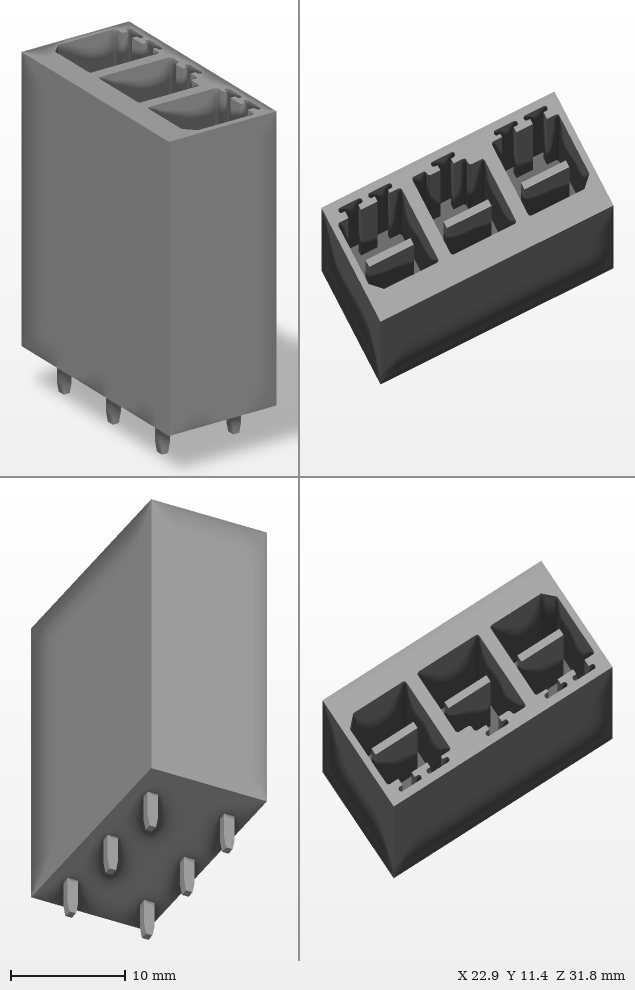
import cadquery as cq

TOTAL_HEIGHT = 31.8
HOUSING_LENGTH = 22.85
HOUSING_DEPTH = 11.4
LEG_LENGTH = 3.5
POLE_COUNT = 3
PITCH = HOUSING_LENGTH / POLE_COUNT

POCKET_WIDTH = 6.42
POCKET_FRONT_Y = -3.25
POCKET_DEPTH = 20.67
POCKET_CORNER_RADIUS = 0.25
POCKET_CHAMFER = 1.02
OUTER_WALL_LEVEL = 3.82
INNER_WALL_LEVEL = 4.15
RIB_LEVEL = 3.98
MIDDLE_LEFT_LEVEL = 4.5
MIDDLE_RIGHT_LEVEL = 3.2
MIDDLE_LEFT_STEP_X = -1.8
MIDDLE_RIGHT_STEP_X = 1.8

SLOT_BACK_Y = 4.95
SLOT_HEAD_DEPTH = 0.48
SLOT_HEAD_WIDTH = 2.3
SLOT_STEM_WIDTH = 1.3
SLOT_END_RADIUS = 0.22
SLOT_SPACING = 2.93

BLADE_WIDTH = 4.4
BLADE_THICKNESS = 0.67
BLADE_TOP_GAP = 3.18
CROSSBAR_HEIGHT = 2.55
LEG_THICKNESS = 0.8
LEG_WIDTH = 1.02
LEG_SPACING = 7.55
LEG_TAPER_HEIGHT = 1.02
LEG_TAPER = 0.2

POCKET_FLOOR_Z = TOTAL_HEIGHT - POCKET_DEPTH


def block(x_min, x_max, y_min, y_max, z_min, z_max):
    """Box given by its limits."""
    size = (x_max - x_min, y_max - y_min, z_max - z_min)
    return cq.Workplane("XY").box(*size, centered=False).translate((x_min, y_min, z_min))


def pocket_prism(points):
    """Upright prism from the pocket floor to the housing top."""
    return cq.Workplane("XY", origin=(0, 0, POCKET_FLOOR_Z)).polyline(points).close().extrude(POCKET_DEPTH)


def keying_slot(x):
    """T-shaped slot centred on x, with a round-ended head at the back."""
    head_front_y = SLOT_BACK_Y - SLOT_HEAD_DEPTH
    half_head = SLOT_HEAD_WIDTH / 2
    half_stem = SLOT_STEM_WIDTH / 2
    head = block(x - half_head, x + half_head, head_front_y, SLOT_BACK_Y, POCKET_FLOOR_Z, TOTAL_HEIGHT)
    head = head.edges("|Z").fillet(SLOT_END_RADIUS)
    stem_front_y = OUTER_WALL_LEVEL
    stem_back_y = SLOT_BACK_Y - SLOT_HEAD_DEPTH / 2
    stem = block(x - half_stem, x + half_stem, stem_front_y, stem_back_y, POCKET_FLOOR_Z, TOTAL_HEIGHT)
    return head.union(stem)


def left_pocket():
    """Left pocket, centred on x = 0: chamfered front corner and two keying slots."""
    half = POCKET_WIDTH / 2
    half_spacing = SLOT_SPACING / 2
    pocket = pocket_prism([
        (-half + POCKET_CHAMFER, POCKET_FRONT_Y),
        (half, POCKET_FRONT_Y),
        (half, INNER_WALL_LEVEL),
        (half_spacing, INNER_WALL_LEVEL),
        (half_spacing, RIB_LEVEL),
        (-half_spacing, RIB_LEVEL),
        (-half_spacing, OUTER_WALL_LEVEL),
        (-half, OUTER_WALL_LEVEL),
        (-half, POCKET_FRONT_Y + POCKET_CHAMFER),
    ])
    pocket = pocket.edges("|Z and >X").fillet(POCKET_CORNER_RADIUS)
    mid_height = (POCKET_FLOOR_Z + TOTAL_HEIGHT) / 2
    back_left_corner = cq.selectors.NearestToPointSelector((-half, OUTER_WALL_LEVEL, mid_height))
    pocket = pocket.edges(back_left_corner).fillet(POCKET_CORNER_RADIUS)
    return pocket.union(keying_slot(-half_spacing)).union(keying_slot(half_spacing))


def middle_pocket():
    """Middle pocket, centred on x = 0: stepped back wall and one keying slot."""
    half = POCKET_WIDTH / 2
    pocket = pocket_prism([
        (-half, POCKET_FRONT_Y),
        (half, POCKET_FRONT_Y),
        (half, MIDDLE_RIGHT_LEVEL),
        (MIDDLE_RIGHT_STEP_X, MIDDLE_RIGHT_LEVEL),
        (MIDDLE_RIGHT_STEP_X, RIB_LEVEL),
        (MIDDLE_LEFT_STEP_X, RIB_LEVEL),
        (MIDDLE_LEFT_STEP_X, MIDDLE_LEFT_LEVEL),
        (-half, MIDDLE_LEFT_LEVEL),
    ])
    pocket = pocket.edges("|Z").fillet(POCKET_CORNER_RADIUS)
    return pocket.union(keying_slot(0))


def make_contact(x):
    """One contact: blade, crossbar flush with the housing base, and two tapered legs."""
    half_blade = BLADE_WIDTH / 2
    half_thickness = BLADE_THICKNESS / 2
    bar_top_z = LEG_LENGTH + CROSSBAR_HEIGHT
    blade_top_z = TOTAL_HEIGHT - BLADE_TOP_GAP
    blade = block(-half_blade, half_blade, -half_thickness, half_thickness, bar_top_z, blade_top_z)

    outer_y = (LEG_SPACING + LEG_WIDTH) / 2
    inner_y = (LEG_SPACING - LEG_WIDTH) / 2
    fork_outline = [
        (-outer_y, bar_top_z),
        (-outer_y, LEG_TAPER_HEIGHT),
        (-outer_y + LEG_TAPER, 0),
        (-inner_y - LEG_TAPER, 0),
        (-inner_y, LEG_TAPER_HEIGHT),
        (-inner_y, LEG_LENGTH),
        (inner_y, LEG_LENGTH),
        (inner_y, LEG_TAPER_HEIGHT),
        (inner_y + LEG_TAPER, 0),
        (outer_y - LEG_TAPER, 0),
        (outer_y, LEG_TAPER_HEIGHT),
        (outer_y, bar_top_z),
    ]
    fork = cq.Workplane("YZ").polyline(fork_outline).close().extrude(LEG_THICKNESS / 2, both=True)
    return blade.union(fork).translate((x, 0, 0))


def make_housing(contacts):
    """Housing block with its three pockets and a matching recess for each contact."""
    half_length = HOUSING_LENGTH / 2
    half_depth = HOUSING_DEPTH / 2
    body = block(-half_length, half_length, -half_depth, half_depth, LEG_LENGTH, TOTAL_HEIGHT)
    outer = left_pocket().translate((-PITCH, 0, 0))
    body = body.cut(outer).cut(outer.mirror("YZ")).cut(middle_pocket())
    for contact in contacts:
        body = body.cut(contact)
    return body


contacts = [make_contact((pole - (POLE_COUNT - 1) / 2) * PITCH) for pole in range(POLE_COUNT)]
housing = make_housing(contacts)

result = cq.Compound.makeCompound([housing.val(), *[contact.val() for contact in contacts]])